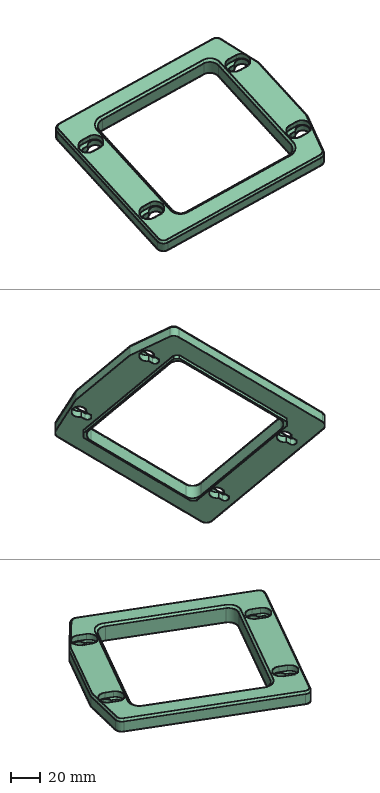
import cadquery as cq
import math

plate_width = 125.0
plate_length = 144.0
plate_height = 10.1
far_edge_width = 55.9
taper_length = 9.8
plate_corner_radius = 5.0
plate_chamfer_height = 1.9
plate_chamfer_width = 1.2

window_size = 97.0
window_corner_radius = 7.0
flare_corner_radius = 8.0
window_chamfer_height = 1.5
window_chamfer_width = 1.7
rim_size = 99.0
rim_height = 3.0
rim_corner_chamfer = 2.7

keyhole_spacing_x = 70.0
keyhole_spacing_y = 120.0
keyhole_pattern_shift = 3.0
head_diameter = 10.0
shank_width = 5.5
shank_travel = 7.3
recess_width = 12.0
recess_length = 17.7
recess_depth = 4.6
recess_shift = 3.5

half_width = plate_width / 2
half_length = plate_length / 2


def make_plate():
    taper_start = half_length - taper_length
    outline = [
        (-half_width, -half_length),
        (half_width, -half_length),
        (half_width, taper_start),
        (far_edge_width / 2, half_length),
        (-far_edge_width / 2, half_length),
        (-half_width, taper_start),
    ]
    straight_height = plate_height - plate_chamfer_height
    chamfer_angle = math.degrees(math.atan2(plate_chamfer_width, plate_chamfer_height))
    plate = cq.Workplane("XY").polyline(outline).close().extrude(straight_height)
    plate = plate.edges("|Z and (<X or >X)").fillet(plate_corner_radius)
    return plate.faces(">Z").wires().toPending().extrude(plate_chamfer_height, taper=chamfer_angle)


def make_rim():
    rim = cq.Workplane("XY").rect(rim_size, rim_size).extrude(-rim_height)
    return rim.edges("|Z").chamfer(rim_corner_chamfer)


def rounded_square(size, corner_radius):
    return cq.Sketch().rect(size, size).vertices().fillet(corner_radius)


def make_window():
    """Cutter for the window: a straight opening that flares out at the top face."""
    opening = rounded_square(window_size, window_corner_radius)
    flare_size = window_size + 2 * window_chamfer_width
    flare_opening = rounded_square(flare_size, flare_corner_radius)
    straight = (
        cq.Workplane("XY", origin=(0, 0, -rim_height))
        .placeSketch(opening)
        .extrude(rim_height + plate_height)
    )
    flare = (
        cq.Workplane("XY", origin=(0, 0, plate_height - window_chamfer_height))
        .placeSketch(opening, flare_opening.moved(cq.Location(cq.Vector(0, 0, window_chamfer_height))))
        .loft(ruled=True)
    )
    return straight.union(flare)


def make_keyhole(x, y):
    """Keyhole with its head hole at (x, y) and its shank slot running towards -Y."""
    head = cq.Workplane("XY").center(x, y).circle(head_diameter / 2).extrude(plate_height)
    shank = (
        cq.Workplane("XY")
        .center(x, y - shank_travel / 2)
        .slot2D(shank_travel + shank_width, shank_width, 90)
        .extrude(plate_height)
    )
    recess = (
        cq.Workplane("XY", origin=(0, 0, plate_height))
        .center(x, y - recess_shift)
        .slot2D(recess_length, recess_width, 90)
        .extrude(-recess_depth)
    )
    return head.union(shank).union(recess)


result = make_plate().union(make_rim()).cut(make_window())
for side_x in (-1, 1):
    for side_y in (-1, 1):
        keyhole_x = side_x * keyhole_spacing_x / 2
        keyhole_y = keyhole_pattern_shift + side_y * keyhole_spacing_y / 2
        result = result.cut(make_keyhole(keyhole_x, keyhole_y))